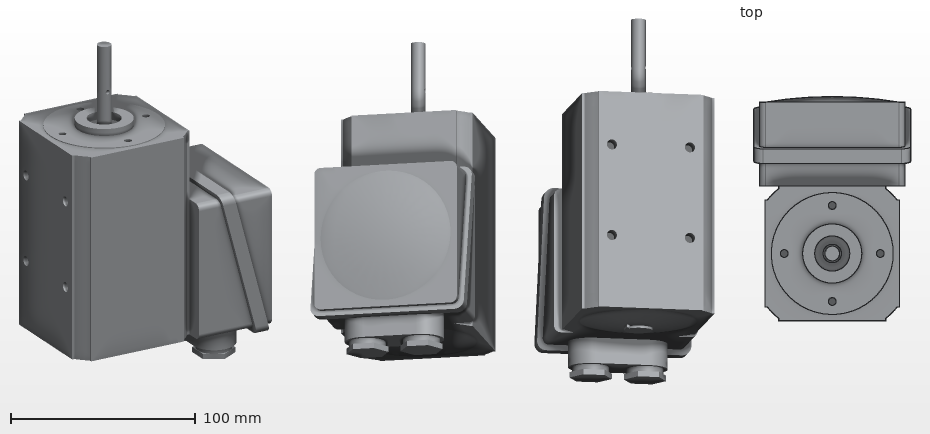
import cadquery as cq
import math

motor_width = 73.0
motor_height = 119.0
cap_height = 8.0
flat_width = 58.0
corner_radius = 45.6
flange_disc_diameter = 66.0
flange_disc_height = 0.5
pilot_diameter = 32.0
pilot_height = 4.5
recess_diameter = 19.0
recess_depth = 4.5
flange_hole_diameter = 4.2
flange_hole_circle = 52.0
flange_hole_depth = cap_height
side_hole_diameter = 5.5
side_hole_depth = 8.0
side_hole_spacing_x = 43.0
side_hole_spacing_z = 50.0
side_hole_center_z = 64.7
dome_diameter = 64.0
dome_height = 4.0
boss_diameter = 15.5
boss_height = 5.0
boss_tab_width = 1.5

shaft_diameter = 8.0
shaft_length = 47.5
collar_diameter = 10.0
collar_height = 1.5
cross_hole_diameter = 2.5
cross_hole_height = 21.0

box_size = 79.0
box_back = 82.0
box_corner_radius = 3.5
rim_size = 85.0
rim_corner_radius = 5.0
rim_width = 8.0
rim_tilt = 15.0
rim_center_y = 64.0
lid_dome_diameter = 72.0
lid_dome_height = 3.0

gland_spacing = 30.0
gland_y = 59.75
entry_radius = 12.25
entry_height = 14.0
neck_diameter = 20.0
neck_height = 3.0
nut_width = 20.2
nut_height = 3.0

stator_height = motor_height - 2 * cap_height
pilot_top = motor_height + pilot_height
recess_floor = pilot_top - recess_depth
box_front = motor_width / 2
box_center_z = box_size / 2
rim_front = rim_center_y - rim_width / 2
rim_back = rim_center_y + rim_width / 2


def disc(diameter, bottom, top):
    return cq.Workplane("XY", origin=(0, 0, bottom)).circle(diameter / 2).extrude(top - bottom)


def spherical_cap(diameter, height):
    """Shallow dome standing on Z = 0 and rising to Z = height."""
    radius = ((diameter / 2) ** 2 + height ** 2) / (2 * height)
    ball = cq.Workplane("XY", origin=(0, 0, height - radius)).sphere(radius)
    return ball.intersect(disc(2 * diameter, 0, 2 * height))


def motor_section(bottom, height):
    """Square section with rounded corners set back behind the flat side faces."""
    def block(size_x, size_y):
        return cq.Workplane("XY", origin=(0, 0, bottom)).rect(size_x, size_y).extrude(height)

    core = disc(2 * corner_radius, bottom, bottom + height).intersect(block(motor_width, motor_width))
    return core.union(block(motor_width, flat_width)).union(block(flat_width, motor_width))


def make_front_cap():
    cap = motor_section(motor_height - cap_height, cap_height)
    cap = cap.union(disc(flange_disc_diameter, motor_height, motor_height + flange_disc_height))
    cap = cap.union(disc(pilot_diameter, motor_height, pilot_top))
    cap = cap.cut(disc(recess_diameter, recess_floor, pilot_top))
    cap = cap.cut(disc(collar_diameter, motor_height - cap_height, recess_floor))
    holes = (
        cq.Workplane("XY", origin=(0, 0, motor_height + flange_disc_height))
        .polarArray(flange_hole_circle / 2, 0, 360, 4)
        .circle(flange_hole_diameter / 2)
        .extrude(-flange_hole_depth)
    )
    return cap.cut(holes)


def make_stator():
    stator = motor_section(cap_height, stator_height)
    holes = (
        cq.Workplane("XZ", origin=(0, -motor_width / 2, side_hole_center_z))
        .rarray(side_hole_spacing_x, side_hole_spacing_z, 2, 2)
        .circle(side_hole_diameter / 2)
        .extrude(-side_hole_depth)
    )
    return stator.cut(holes)


def make_rear_cap():
    dome = spherical_cap(dome_diameter, dome_height).rotate((0, 0, 0), (1, 0, 0), 180)
    boss = disc(boss_diameter, -boss_height, 0)
    boss_radius = boss_diameter / 2
    tab = (
        cq.Workplane("XY", origin=(-boss_radius, -boss_radius, 0))
        .rect(boss_tab_width, boss_radius, centered=False)
        .extrude(-boss_height)
    )
    return motor_section(0, cap_height).union(dome).union(boss).union(tab)


def make_shaft():
    """Output shaft whose collar fills the bore of the front cap."""
    collar = disc(collar_diameter, motor_height - cap_height, recess_floor + collar_height)
    shaft = collar.union(disc(shaft_diameter, motor_height, motor_height + shaft_length))
    cross_hole = (
        cq.Workplane("YZ", origin=(0, 0, motor_height + cross_hole_height))
        .circle(cross_hole_diameter / 2)
        .extrude(shaft_diameter, both=True)
    )
    return shaft.cut(cross_hole)


def box_prism(size, corner, front, back):
    """Square prism along Y with rounded edges, centred on the terminal box."""
    return (
        cq.Workplane("XZ", origin=(0, front, box_center_z))
        .rect(size, size)
        .extrude(front - back)
        .edges("|Y")
        .fillet(corner)
    )


def tilted_slab(front, back):
    """Slab leaning in Y, taller than the box; front and back are its Y limits at mid-height."""
    half_height = rim_size
    lean = half_height * math.tan(math.radians(rim_tilt))
    outline = [
        (front + lean, -half_height),
        (back + lean, -half_height),
        (back - lean, half_height),
        (front - lean, half_height),
    ]
    return (
        cq.Workplane("YZ", origin=(0, 0, box_center_z))
        .polyline(outline)
        .close()
        .extrude(rim_size, both=True)
    )


def make_cable_entries():
    """Oblong block under the box carrying two necks with hexagon nuts."""
    length = gland_spacing + 2 * entry_radius
    entries = (
        cq.Workplane("XY", origin=(0, gland_y, 0))
        .slot2D(length, 2 * entry_radius)
        .extrude(-entry_height)
    )
    for side in (-1, 1):
        base = cq.Workplane("XY", origin=(side * gland_spacing / 2, gland_y, -entry_height))
        neck = base.circle(neck_diameter / 2).extrude(-neck_height)
        nut = (
            base.workplane(offset=-neck_height)
            .polygon(6, nut_width / math.cos(math.pi / 6))
            .extrude(-nut_height)
        )
        entries = entries.union(neck).union(nut)
    return entries


def make_terminal_box():
    shell = box_prism(box_size, box_corner_radius, box_front, box_back)
    shell = shell.intersect(tilted_slab(-box_back, rim_back))
    rim = box_prism(rim_size, rim_corner_radius, box_front, box_back + rim_size)
    rim = rim.intersect(tilted_slab(rim_front, rim_back))
    return shell.union(rim).union(make_cable_entries())


def make_lid():
    lid = box_prism(box_size, box_corner_radius, box_front, box_back)
    lid = lid.intersect(tilted_slab(rim_back, 2 * box_back))
    dome = (
        spherical_cap(lid_dome_diameter, lid_dome_height)
        .rotate((0, 0, 0), (1, 0, 0), -90)
        .translate((0, box_back, box_center_z))
    )
    return lid.union(dome)


front_cap = make_front_cap()
stator = make_stator()
rear_cap = make_rear_cap()
shaft = make_shaft()
terminal_box = make_terminal_box()
lid = make_lid()

result = cq.Compound.makeCompound([
    front_cap.val(),
    stator.val(),
    rear_cap.val(),
    shaft.val(),
    terminal_box.val(),
    lid.val(),
])